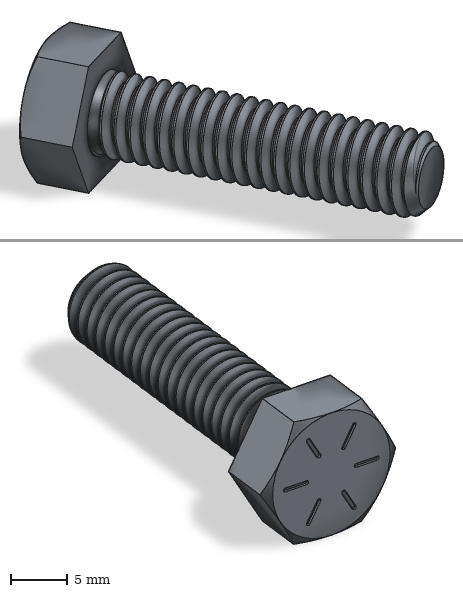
import cadquery as cq
import math


ACROSS_FLATS = 12.7
ACROSS_CORNERS = ACROSS_FLATS / math.cos(math.radians(30))
HEAD_HEIGHT = 5.56
HEAD_FACE_RADIUS = 6.34
HEAD_CHAMFER_ANGLE = 30

MARK_COUNT = 6
MARK_INNER_RADIUS = 2.48
MARK_OUTER_RADIUS = 5.16
MARK_WIDTH = 0.4
MARK_DEPTH = 0.25

SHANK_LENGTH = 31.75
MAJOR_RADIUS = 7.94 / 2
MINOR_RADIUS = 6.1 / 2
PITCH = 25.4 / 18
CREST_WIDTH = PITCH / 8
ROOT_WIDTH = PITCH / 8
FIRST_CREST = 0.25
TURNS_IN_HEAD = 2

NECK_RADIUS = 3.95
NECK_ANGLE = 30

TIP_RADIUS = 2.87
TIP_CHAMFER_ANGLE = 45


def tangent(angle):
    """Tangent of an angle given in degrees."""
    return math.tan(math.radians(angle))


def lay_on_x(shape):
    """Turn a shape built along local Z so that it runs along X."""
    return shape.rotate((0, 0, 0), (0, 1, 0), 90)


def revolve_profile(points):
    """Revolve a closed outline of (radius, height) points about local Z."""
    return cq.Workplane("XZ").polyline(points).close().revolve(360, (0, 0, 0), (0, 1, 0))


def make_head():
    """Hexagon with two flats facing +Z and -Z, its outer corners trimmed by a cone."""
    hexagon = (
        cq.Workplane("YZ")
        .polygon(6, ACROSS_CORNERS)
        .extrude(-HEAD_HEIGHT)
    )
    cone_radius = ACROSS_CORNERS
    cone_height = (cone_radius - HEAD_FACE_RADIUS) * tangent(HEAD_CHAMFER_ANGLE)
    envelope = revolve_profile([
        (0, -HEAD_HEIGHT),
        (HEAD_FACE_RADIUS, -HEAD_HEIGHT),
        (cone_radius, -HEAD_HEIGHT + cone_height),
        (cone_radius, 0),
        (0, 0),
    ])
    return hexagon.intersect(lay_on_x(envelope))


def make_grade_marks():
    """Round-ended radial slots, evenly spaced around the head face."""
    middle_radius = (MARK_INNER_RADIUS + MARK_OUTER_RADIUS) / 2
    mark_length = MARK_OUTER_RADIUS - MARK_INNER_RADIUS
    return (
        cq.Workplane("YZ", origin=(-HEAD_HEIGHT, 0, 0))
        .polarArray(middle_radius, 0, 360, MARK_COUNT)
        .slot2D(mark_length, MARK_WIDTH)
        .extrude(MARK_DEPTH)
    )


def make_helix(radius, height):
    """One right-hand turn about local Z, starting at the given height."""
    wire = cq.Wire.makeHelix(PITCH, PITCH, radius, center=cq.Vector(0, 0, height))
    return wire.Edges()[0]


def thread_profile():
    """(radius, height) corners of one pitch: root, flank, crest, flank."""
    flank_run = (PITCH - ROOT_WIDTH - CREST_WIDTH) / 2
    crest_start = ROOT_WIDTH + flank_run
    return [
        (MINOR_RADIUS, 0),
        (MINOR_RADIUS, ROOT_WIDTH),
        (MAJOR_RADIUS, crest_start),
        (MAJOR_RADIUS, crest_start + CREST_WIDTH),
        (MINOR_RADIUS, PITCH),
    ]


def make_turn_faces(base):
    """Root, crest and flank faces of one thread turn."""
    helices = [make_helix(radius, base + height) for radius, height in thread_profile()]
    return [cq.Face.makeRuledSurface(lower, upper) for lower, upper in zip(helices, helices[1:])]


def make_end_faces(base):
    """Faces that close the thread at one end: a helical ramp and a radial step."""
    axis_edge = cq.Edge.makeLine(cq.Vector(0, 0, base), cq.Vector(0, 0, base + PITCH))
    ramp = cq.Face.makeRuledSurface(axis_edge, make_helix(MINOR_RADIUS, base))
    outline = [(0, 0)] + thread_profile() + [(0, PITCH)]
    corners = [cq.Vector(radius, 0, base + height) for radius, height in outline]
    step = cq.Face.makeFromWires(cq.Wire.makePolygon(corners, close=True))
    return [ramp, step]


def make_thread():
    """Solid threaded rod that starts inside the head and runs out past the tip."""
    root_to_crest = (PITCH + ROOT_WIDTH) / 2
    start = FIRST_CREST - root_to_crest - TURNS_IN_HEAD * PITCH
    turn_count = math.ceil((SHANK_LENGTH - start) / PITCH) + 1
    faces = make_end_faces(start) + make_end_faces(start + turn_count * PITCH)
    for turn in range(turn_count):
        faces += make_turn_faces(start + turn * PITCH)
    solid = cq.Solid.makeSolid(cq.Shell.makeShell(faces))
    return cq.Workplane(solid.fix())


def make_neck():
    """Cone under the head in which the thread runs out, rooted in the head."""
    root_depth = HEAD_HEIGHT / 4
    cone_end_radius = MINOR_RADIUS / 2
    cone_length = (NECK_RADIUS - cone_end_radius) / tangent(NECK_ANGLE)
    return revolve_profile([
        (0, -root_depth),
        (NECK_RADIUS, -root_depth),
        (NECK_RADIUS, 0),
        (cone_end_radius, cone_length),
        (0, cone_length),
    ])


def make_shank_envelope():
    """Solid that ends the shank square at the tip and bevels the last thread turns."""
    outer_radius = 2 * MAJOR_RADIUS
    bevel_length = (outer_radius - TIP_RADIUS) * tangent(TIP_CHAMFER_ANGLE)
    return revolve_profile([
        (0, -HEAD_HEIGHT / 2),
        (outer_radius, -HEAD_HEIGHT / 2),
        (outer_radius, SHANK_LENGTH - bevel_length),
        (TIP_RADIUS, SHANK_LENGTH),
        (0, SHANK_LENGTH),
    ])


def make_shank():
    """Threaded shank, laid along X."""
    trimmed_thread = make_thread().intersect(make_shank_envelope())
    return lay_on_x(trimmed_thread.union(make_neck()))


head = make_head().cut(make_grade_marks())
result = head.union(make_shank())